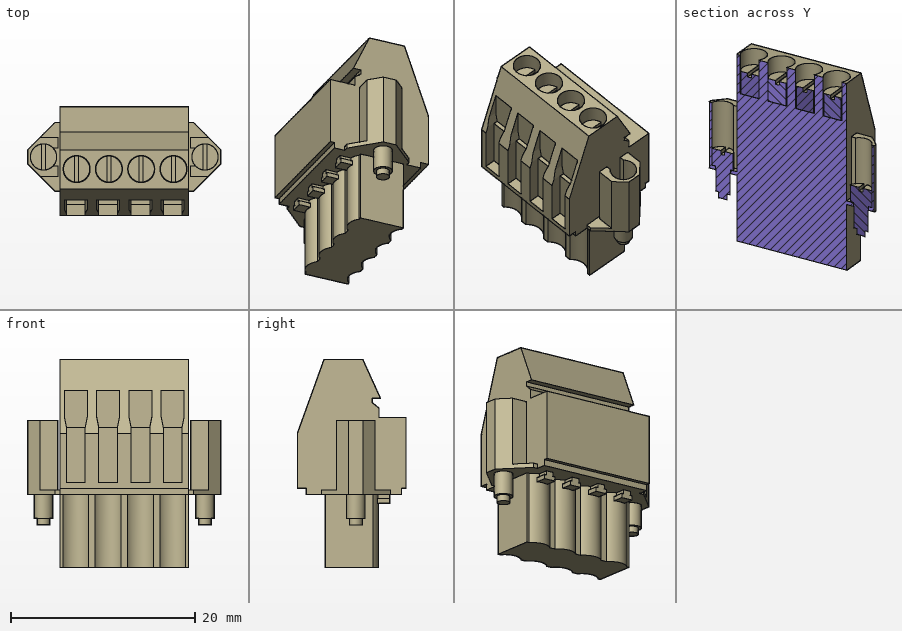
import cadquery as cq


contact_count = 4
pitch = 3.5
contact_xs = [(i - (contact_count - 1) / 2) * pitch for i in range(contact_count)]

overall_height = 22.6
overall_width = 20.95
housing_width = 13.95
housing_depth = 11.82
housing_height = 14.67
step_height = 0.68
front_step = 0.95
back_step = 0.5
slope_bottom = 6.65
roof_front = 2.9
roof_back = 7.12
shelf_height = 8.38
latch_tip_y = 9.05
latch_tip_z = 10.45
latch_notch_y = 8.15
latch_notch_top = 9.97
latch_notch_bottom = 9.38
latch_back_y = 8.88

lower_pocket_width = 2.03
lower_pocket_depth = 1.2
lower_pocket_bottom = 1.29
upper_pocket_width = 2.49
upper_pocket_depth = 1.67
upper_pocket_bottom = 7.3
taper_top = 8.43

terminal_screw_offset = 0.1
terminal_screw_xs = [x + terminal_screw_offset for x in contact_xs]
terminal_screw_y = 5.05
terminal_hole_diameter = 2.94
terminal_screw_diameter = 2.85
terminal_screw_length = 2.71
terminal_screw_sink = 1.92
drive_slot_width = 0.43
drive_slot_depth = 0.45

plug_length = overall_height - housing_height
plug_front = 3.03
plug_back = 8.2
groove_width = 2.8
groove_depth = 0.7
ridge_height = 0.6

rib_back = 10.05
rib_height = 0.95
rib_stem_height = 0.45
rib_stem_width = 0.9
rib_head_width = 1.4

flange_x = contact_xs[-1] + pitch
flange_y = 6.35
flange_length = 7.48
flange_thickness = 0.5
flange_end_width = 1.55
tower_length = 4.2
tower_height = 8.05
tower_gap = 0.23
tower_slot_width = 2.0

flange_head_diameter = 2.85
flange_head_height = 2.03
flange_shank_diameter = 2.03
flange_shank_length = 2.58
flange_tip_diameter = 1.4
flange_tip_length = 0.7


def box(x_range, y_range, z_range):
    """A box between the given X, Y and Z limits."""
    (x0, x1), (y0, y1), (z0, z1) = x_range, y_range, z_range
    return cq.Workplane("XY").box(x1 - x0, y1 - y0, z1 - z0, centered=False).translate((x0, y0, z0))


def cylinder(x, y, diameter, bottom, top):
    """An upright cylinder between two heights."""
    return cq.Workplane("XY", origin=(x, y, bottom)).circle(diameter / 2).extrude(top - bottom)


def centred(x, width):
    """The limits of a width centred on x."""
    return (x - width / 2, x + width / 2)


def make_block():
    """The housing block: a side profile drawn through the full width."""
    profile = [
        (front_step, 0),
        (front_step, step_height),
        (0, step_height),
        (0, slope_bottom),
        (roof_front, housing_height),
        (roof_back, housing_height),
        (latch_tip_y, latch_tip_z),
        (latch_notch_y, latch_tip_z),
        (latch_notch_y, latch_notch_top),
        (latch_back_y, latch_notch_bottom),
        (latch_back_y, shelf_height),
        (housing_depth, shelf_height),
        (housing_depth, step_height),
        (housing_depth - back_step, step_height),
        (housing_depth - back_step, 0),
    ]
    return cq.Workplane("YZ").polyline(profile).close().extrude(housing_width / 2, both=True)


def make_wire_pocket(x):
    """The cutter for one wire entry: a narrow lower pocket and a deeper funnel above it."""
    lower = box(
        centred(x, lower_pocket_width), (0, lower_pocket_depth), (lower_pocket_bottom, upper_pocket_bottom)
    )
    half_bottom = lower_pocket_width / 2
    half_top = upper_pocket_width / 2
    funnel = (
        cq.Workplane("XZ", origin=(x, 0, 0))
        .moveTo(-half_bottom, upper_pocket_bottom)
        .lineTo(half_bottom, upper_pocket_bottom)
        .lineTo(half_top, taper_top)
        .lineTo(half_top, housing_height)
        .lineTo(-half_top, housing_height)
        .lineTo(-half_top, taper_top)
        .close()
        .extrude(-upper_pocket_depth)
    )
    return lower.union(funnel)


def make_plug():
    """The plug: grooves in its front and shallower round ridges on its back, one pair per contact."""
    half_width = housing_width / 2
    outline = cq.Workplane("XY").moveTo(-half_width, plug_front)
    for x in contact_xs:
        left, right = centred(x, groove_width)
        outline = outline.lineTo(left, plug_front)
        outline = outline.threePointArc((x, plug_front + groove_depth), (right, plug_front))
    outline = outline.lineTo(half_width, plug_front).lineTo(half_width, plug_back)
    for x in reversed(contact_xs):
        left, right = centred(x, groove_width)
        outline = outline.lineTo(right, plug_back)
        outline = outline.threePointArc((x, plug_back + ridge_height), (left, plug_back))
    return outline.lineTo(-half_width, plug_back).close().extrude(-plug_length)


def make_coding_rib(x):
    """A T-shaped rib hanging under the housing behind one contact."""
    rib_y = (plug_back, rib_back)
    stem = box(centred(x, rib_stem_width), rib_y, (-rib_stem_height, 0))
    head = box(centred(x, rib_head_width), rib_y, (-rib_height, -rib_stem_height))
    return stem.union(head)


def make_flange():
    """The right-hand screw flange: a bevelled foot carrying a tower for the screw head."""
    outer_x = overall_width / 2
    side_x = housing_width / 2
    tower_x = side_x + tower_gap
    half_length = flange_length / 2
    half_end = flange_end_width / 2
    bevel_x = outer_x - (half_length - half_end)
    prism = (
        cq.Workplane("XY", origin=(0, flange_y, 0))
        .moveTo(side_x, -half_length)
        .lineTo(bevel_x, -half_length)
        .lineTo(outer_x, -half_end)
        .lineTo(outer_x, half_end)
        .lineTo(bevel_x, half_length)
        .lineTo(side_x, half_length)
        .close()
        .extrude(tower_height)
    )
    tower_y = centred(flange_y, tower_length)
    foot_y = centred(flange_y, flange_length)
    tower = prism.intersect(box((tower_x, outer_x), tower_y, (0, tower_height)))
    foot = prism.intersect(box((side_x, outer_x), foot_y, (0, flange_thickness)))
    slot_y = centred(flange_y, tower_slot_width)
    side_slot = box((tower_x, flange_x), slot_y, (flange_thickness, tower_height))
    head_hole = cylinder(flange_x, flange_y, flange_head_diameter, flange_thickness, tower_height)
    shank_hole = cylinder(flange_x, flange_y, flange_shank_diameter, 0, flange_thickness)
    return foot.union(tower).cut(side_slot).cut(head_hole).cut(shank_hole)


def make_housing():
    """The one-piece housing with its plug, coding ribs and both flanges."""
    body = make_block().union(make_plug())
    screw_bottom = housing_height - terminal_screw_sink - terminal_screw_length
    for x in contact_xs:
        body = body.union(make_coding_rib(x))
        body = body.cut(make_wire_pocket(x))
    for x in terminal_screw_xs:
        body = body.cut(cylinder(x, terminal_screw_y, terminal_hole_diameter, screw_bottom, housing_height))
    flange = make_flange()
    return body.union(flange).union(flange.mirror("YZ"))


def cut_drive_slot(screw, x, y, head_top, head_diameter):
    """Cut a straight screwdriver slot, running along Y, into a screw head."""
    slot_z = (head_top - drive_slot_depth, head_top)
    return screw.cut(box(centred(x, drive_slot_width), centred(y, head_diameter), slot_z))


def make_terminal_screw(x):
    """A slotted terminal screw standing on the floor of its hole."""
    head_top = housing_height - terminal_screw_sink
    screw = cylinder(x, terminal_screw_y, terminal_screw_diameter, head_top - terminal_screw_length, head_top)
    return cut_drive_slot(screw, x, terminal_screw_y, head_top, terminal_screw_diameter)


def make_flange_screw(x):
    """A slotted flange screw: head on the flange foot, shank through it and a thinner tip."""
    head_top = flange_thickness + flange_head_height
    shank_end = -flange_shank_length
    head = cylinder(x, flange_y, flange_head_diameter, flange_thickness, head_top)
    shank = cylinder(x, flange_y, flange_shank_diameter, shank_end, flange_thickness)
    tip = cylinder(x, flange_y, flange_tip_diameter, shank_end - flange_tip_length, shank_end)
    return cut_drive_slot(head.union(shank).union(tip), x, flange_y, head_top, flange_head_diameter)


housing = make_housing()
terminal_screws = [make_terminal_screw(x) for x in terminal_screw_xs]
flange_screws = [make_flange_screw(x) for x in (-flange_x, flange_x)]

bodies = [housing, *terminal_screws, *flange_screws]
result = cq.Compound.makeCompound([body.val() for body in bodies])